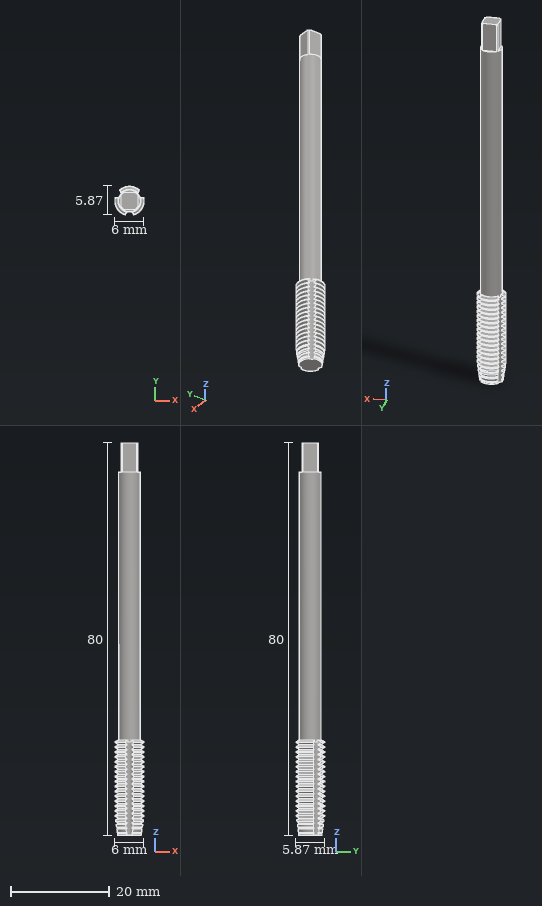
import cadquery as cq
import math


total_length = 80.0
head_length = 19.4
thread_diameter = 6.0
thread_angle = 60.0
pitches_below_top_tooth = 19
flat_share_of_pitch = 1 / 8
shank_diameter = 4.5
square_flat_depth = 0.54
square_length = 6.0
square_end_chamfer = 0.2
lead_length = 4.0
tip_radius = 2.4
flute_count = 3
first_flute_angle = -90.0
flute_radius = 0.9
flute_floor_distance = 2.2

thread_radius = thread_diameter / 2
shank_radius = shank_diameter / 2
square_width = shank_diameter - 2 * square_flat_depth
flank_share_of_pitch = (1 - 2 * flat_share_of_pitch) / 2
pitch = head_length / (pitches_below_top_tooth + flat_share_of_pitch / 2 + flank_share_of_pitch)
flat_width = flat_share_of_pitch * pitch
flank_height = flank_share_of_pitch * pitch
root_radius = thread_radius - flank_height / math.tan(math.radians(thread_angle / 2))
top_tooth_height = pitches_below_top_tooth * pitch
shank_length = total_length - top_tooth_height
flute_centre_distance = flute_floor_distance + flute_radius


def cylinder(radius, base_height, length):
    """A cylinder on the Z axis."""
    return cq.Workplane("XY", origin=(0, 0, base_height)).circle(radius).extrude(length)


def make_shank():
    """Round shank whose upper end is milled to a square with bevelled corners."""
    rod = cylinder(shank_radius, top_tooth_height, shank_length).faces(">Z").chamfer(square_end_chamfer)
    square_base = total_length - square_length
    waste = (
        cq.Workplane("XY", origin=(0, 0, square_base))
        .rect(2 * shank_diameter, 2 * shank_diameter)
        .rect(square_width, square_width)
        .extrude(square_length)
    )
    return rod.cut(waste)


def make_thread_blank():
    """Core with ring-shaped thread teeth, revolved from one profile."""
    half_tooth_at_tip = [(thread_radius, 0), (thread_radius, flat_width / 2)]
    points = [(0, 0), *half_tooth_at_tip]
    for tooth in range(1, pitches_below_top_tooth + 1):
        middle = tooth * pitch
        lower_crest = middle - flat_width / 2
        upper_crest = middle + flat_width / 2
        points += [
            (root_radius, lower_crest - flank_height - flat_width),
            (root_radius, lower_crest - flank_height),
            (thread_radius, lower_crest),
            (thread_radius, upper_crest),
        ]
    points += [(root_radius, head_length), (0, head_length)]
    profile = cq.Workplane("YZ").polyline(points).close()
    return profile.revolve(360, (0, 0, 0), (0, 1, 0))


def make_lead_envelope():
    """Tapered lead at the tip, running out into a plain cylinder over the full threads."""
    points = [
        (0, 0),
        (tip_radius, 0),
        (thread_radius, lead_length),
        (thread_radius, head_length),
        (0, head_length),
    ]
    return cq.Workplane("YZ").polyline(points).close().revolve(360, (0, 0, 0), (0, 1, 0))


def make_flute_cutter(angle):
    """Round cutter that leaves a flute of circular section at the given angle about Z."""
    cutter = cq.Workplane("XY").center(flute_centre_distance, 0).circle(flute_radius).extrude(head_length)
    return cutter.rotate((0, 0, 0), (0, 0, 1), angle)


def make_head():
    """Threaded head with a tapered lead, flutes and a shallow seat for the shank."""
    head = make_thread_blank().intersect(make_lead_envelope())
    for index in range(flute_count):
        head = head.cut(make_flute_cutter(first_flute_angle + index * 360 / flute_count))
    seat = cylinder(shank_radius, top_tooth_height, shank_length)
    return head.cut(seat)


shank = make_shank()
threaded_head = make_head()

result = cq.Compound.makeCompound([shank.val(), threaded_head.val()])